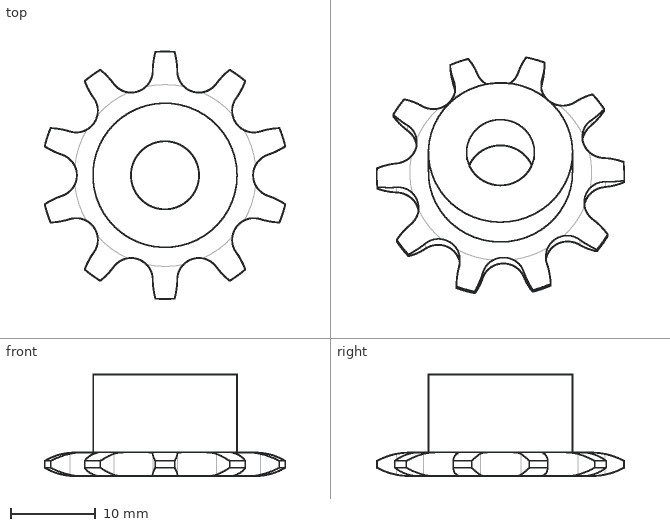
import cadquery as cq
import math

tooth_count = 10
tip_radius = 14.6
pitch_radius = 12.95
seat_radius = 2.55
tip_half_width = 1.15
flank_radius = 8.75
plate_thickness = 2.8
side_curve_radius = 8.0
flat_radius = 10.72
hub_diameter = 17.0
bore_diameter = 8.0
total_height = 12.0
cut_margin = 1.45

tooth_pitch_angle = 360.0 / tooth_count


def make_blank():
    """Revolve a disc whose two faces curve towards each other at the rim."""
    run = tip_radius - flat_radius
    side_drop = side_curve_radius - math.sqrt(side_curve_radius**2 - run**2)
    half_run = run / 2
    mid_drop = side_curve_radius - math.sqrt(side_curve_radius**2 - half_run**2)
    mid_radius = flat_radius + half_run
    return (
        cq.Workplane("XZ")
        .lineTo(flat_radius, 0)
        .threePointArc((mid_radius, mid_drop), (tip_radius, side_drop))
        .lineTo(tip_radius, plate_thickness - side_drop)
        .threePointArc((mid_radius, plate_thickness - mid_drop), (flat_radius, plate_thickness))
        .lineTo(0, plate_thickness)
        .close()
        .revolve(360, (0, 0, 0), (0, 1, 0))
    )


def make_gap_cutter():
    """Build the cutter for one tooth gap, centred on +X: a round roller seat with two flanks."""
    half_angle = math.radians(tooth_pitch_angle / 2)

    seat_end_across = pitch_radius * math.sin(half_angle) - seat_radius
    seat_end_along = pitch_radius * math.cos(half_angle)
    tip_along = math.sqrt(tip_radius**2 - tip_half_width**2)

    def to_gap_axes(along, across):
        """Turn a point from the tooth axis to the gap axis."""
        x = along * math.cos(half_angle) + across * math.sin(half_angle)
        y = along * math.sin(half_angle) - across * math.cos(half_angle)
        return x, y

    seat_x, seat_y = to_gap_axes(seat_end_along, seat_end_across)
    tip_x, tip_y = to_gap_axes(tip_along, tip_half_width)
    outer_x = tip_radius + cut_margin
    root_x = pitch_radius - seat_radius
    return (
        cq.Workplane("XY")
        .moveTo(outer_x, -tip_y)
        .lineTo(tip_x, -tip_y)
        .radiusArc((seat_x, -seat_y), -flank_radius)
        .threePointArc((root_x, 0), (seat_x, seat_y))
        .radiusArc((tip_x, tip_y), -flank_radius)
        .lineTo(outer_x, tip_y)
        .close()
        .extrude(plate_thickness)
    )


sprocket = make_blank()
gap_cutter = make_gap_cutter()
for index in range(tooth_count):
    sprocket = sprocket.cut(gap_cutter.rotate((0, 0, 0), (0, 0, 1), index * tooth_pitch_angle))

hub = cq.Workplane("XY").circle(hub_diameter / 2).extrude(total_height)
bore = cq.Workplane("XY").circle(bore_diameter / 2).extrude(total_height)
result = sprocket.union(hub).cut(bore)